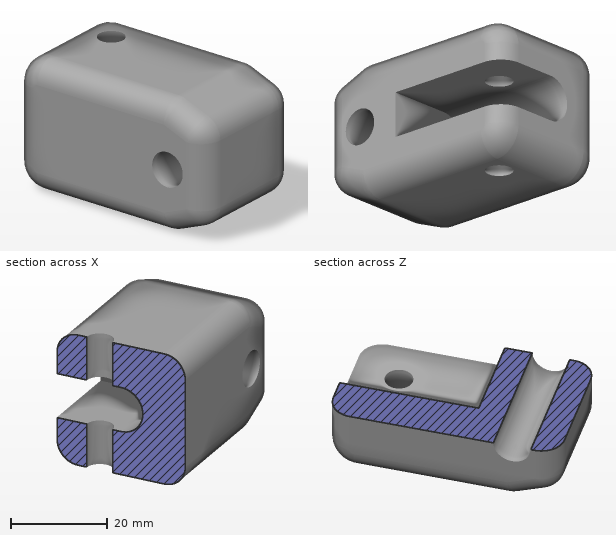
import cadquery as cq

length = 50.0
width = 30.0
height = 30.0

taper_length = 10.0
taper_drop = 4.0

rear_radius = 6.0
edge_radius = 5.0

slot_depth = 30.0
slot_height = 10.0
slot_round_centre_y = 0.0

slot_pin_diameter = 6.0
slot_pin_x = 10.0
slot_pin_y = 5.0
end_pin_diameter = 8.0
end_pin_x = length - taper_length


def make_body():
    """Side profile extruded across the width, with every outer edge rounded."""
    half_height = height / 2
    taper_start = length - taper_length
    end_half_height = half_height - taper_drop
    profile = [
        (0, -half_height),
        (taper_start, -half_height),
        (length, -end_half_height),
        (length, end_half_height),
        (taper_start, half_height),
        (0, half_height),
    ]
    body = cq.Workplane("XZ").polyline(profile).close().extrude(width / 2, both=True)
    body = body.edges("|Y and <X").fillet(rear_radius)
    taper_edges = body.edges("|Y").filter(lambda edge: edge.Center().x > length / 2)
    side_edges = body.faces("<Y or >Y").edges()
    return taper_edges.add(side_edges).fillet(edge_radius)


def make_slot():
    """Tongue slot with a half-round inner edge."""
    slot_radius = slot_height / 2
    straight_length = width / 2 - slot_round_centre_y
    straight = (
        cq.Workplane("XY")
        .box(slot_depth, straight_length, slot_height, centered=(False, False, True))
        .translate((0, slot_round_centre_y, 0))
    )
    inner_round = (
        cq.Workplane("YZ").center(slot_round_centre_y, 0).circle(slot_radius).extrude(slot_depth)
    )
    return straight.union(inner_round)


def make_slot_pin_hole():
    """Vertical pin hole through both cheeks of the slot."""
    return (
        cq.Workplane("XY")
        .center(slot_pin_x, slot_pin_y)
        .circle(slot_pin_diameter / 2)
        .extrude(height, both=True)
    )


def make_end_pin_hole():
    """Pin hole across the width at the tapered end."""
    return (
        cq.Workplane("XZ")
        .center(end_pin_x, 0)
        .circle(end_pin_diameter / 2)
        .extrude(width, both=True)
    )


result = make_body().cut(make_slot()).cut(make_slot_pin_hole()).cut(make_end_pin_hole())